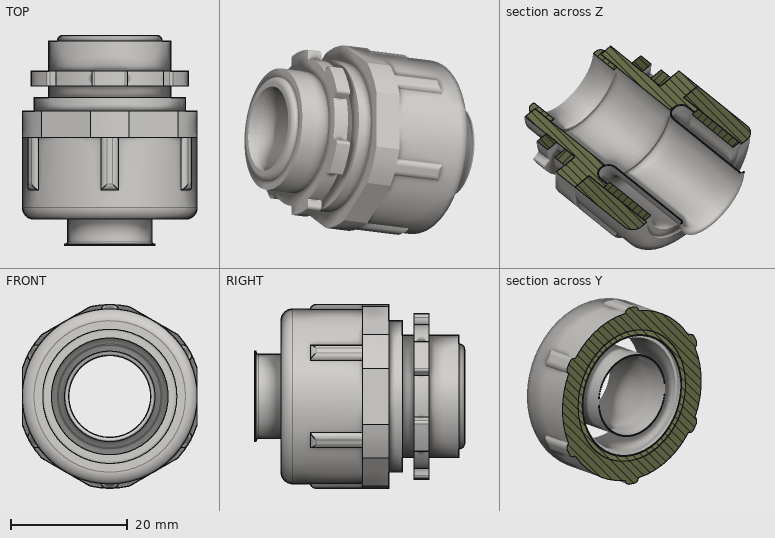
import cadquery as cq
import math


nut_front = 4.5
ring_front = 5.0
rib_front = 9.5
spigot_front = 15.0
hex_front = 18.5
hex_back = 23.0
gasket_back = 25.3
locknut_front = 27.3
locknut_back = 29.88
thread_end = 35.0
overall_length = 36.0

hex_flats = 30.0
corner_dia = 31.5
thread_dia = 21.0
body_bore = 16.0

nut_dia = hex_flats
nut_bore = 23.0
nut_round = 2.0
rib_count = 6
rib_width = 3.0
rib_round = 1.0
rib_embed = 0.72

sheet = 0.25
tube_inner = 14.0
tube_outer = tube_inner + 2 * sheet
lip_dia = 15.5
lip_bend = 0.35
cup_inner = 21.0
cup_outer = cup_inner + 2 * sheet
cup_floor = 18.0
floor_bend = 1.5

ring_bore = 20.0

gasket_dia = 26.0
locknut_root_dia = 25.38
locknut_dia = 28.5
tooth_count = 6
tooth_width = 6.0
tooth_round = 0.5
bush_head_dia = 18.0
bush_bore = tube_outer
bush_sleeve_length = 4.0
bush_round = overall_length - thread_end

first_corner_angle = 30.0


def cylinder(diameter, start, end):
    """Solid cylinder on the Y axis from y = start to y = end."""
    return cq.Workplane("XZ", origin=(0, start, 0)).circle(diameter / 2).extrude(start - end)


def tube(outer, inner, start, end):
    return cylinder(outer, start, end).cut(cylinder(inner, start, end))


def spin(profile):
    """Revolve a closed (radius, y) profile about the Y axis."""
    return profile.close().revolve(360, (0, 0, 0), (0, 1, 0))


def around_axis(shape, count):
    """Yield copies of a shape that points to +X, turned to each corner direction."""
    for index in range(count):
        angle = first_corner_angle + index * 360.0 / count
        yield shape.rotate((0, 0, 0), (0, 1, 0), angle)


def block(inner_x, outer_x, width, start, end):
    """Box pointing to +X, centred on the XY plane."""
    length = end - start
    return (
        cq.Workplane("XY")
        .box(outer_x - inner_x, length, width, centered=(False, False, True))
        .translate((inner_x, start, 0))
    )


def make_ferrule():
    """Thin tube with a flared lip in front and a rounded cup at the back."""
    inner = tube_inner / 2
    outer = tube_outer / 2
    flare_radius = outer + lip_bend
    lip_radius = lip_dia / 2
    floor_back = cup_floor + sheet
    floor_start = outer + floor_bend
    floor_end = cup_inner / 2 - floor_bend
    diagonal = math.sqrt(0.5)

    def arc(centre, radius, radial_sign, axial_sign, end):
        """Middle and end point of a quarter bend that bulges towards the given signs."""
        middle = (
            centre[0] + radial_sign * radius * diagonal,
            centre[1] + axial_sign * radius * diagonal,
        )
        return middle, end

    lip_centre = (flare_radius, sheet + lip_bend)
    tube_centre = (floor_start, cup_floor - floor_bend)
    cup_centre = (floor_end, cup_floor - floor_bend)
    floor_bend_outer = floor_bend + sheet
    lip_bend_outer = lip_bend + sheet

    profile = (
        cq.Workplane("XY")
        .moveTo(flare_radius, 0)
        .lineTo(lip_radius, 0)
        .lineTo(lip_radius, sheet)
        .lineTo(flare_radius, sheet)
        .threePointArc(*arc(lip_centre, lip_bend, -1, -1, (outer, lip_centre[1])))
        .lineTo(outer, tube_centre[1])
        .threePointArc(*arc(tube_centre, floor_bend, -1, 1, (floor_start, cup_floor)))
        .lineTo(floor_end, cup_floor)
        .threePointArc(*arc(cup_centre, floor_bend, 1, 1, (cup_inner / 2, cup_centre[1])))
        .lineTo(cup_inner / 2, spigot_front)
        .lineTo(cup_outer / 2, spigot_front)
        .lineTo(cup_outer / 2, cup_centre[1])
        .threePointArc(*arc(cup_centre, floor_bend_outer, 1, 1, (floor_end, floor_back)))
        .lineTo(floor_start, floor_back)
        .threePointArc(*arc(tube_centre, floor_bend_outer, -1, 1, (inner, tube_centre[1])))
        .lineTo(inner, lip_centre[1])
        .threePointArc(*arc(lip_centre, lip_bend_outer, -1, -1, (flare_radius, 0)))
    )
    return spin(profile)


def make_nut():
    """Dome nut with a rounded front edge and ribs towards the hexagon corners."""
    dome = cylinder(nut_dia, nut_front, hex_front).faces("<Y").edges().fillet(nut_round)
    rib = block(nut_dia / 2 - rib_embed, corner_dia / 2, rib_width, rib_front, hex_front)
    rib = rib.faces(">X").edges("not >Y").fillet(rib_round)
    for placed_rib in around_axis(rib, rib_count):
        dome = dome.union(placed_rib)
    return dome.cut(cylinder(nut_bore, nut_front, hex_front))


def make_clamp_ring():
    return tube(nut_bore, ring_bore, ring_front, spigot_front)


def make_body():
    """Spigot, hexagon with rounded-off corners, and threaded stem."""
    hexagon = (
        cq.Workplane("XZ", origin=(0, hex_front, 0))
        .polygon(6, hex_flats, circumscribed=True)
        .extrude(hex_front - hex_back)
        .intersect(cylinder(corner_dia, hex_front, hex_back))
    )
    body = hexagon.union(cylinder(nut_bore, spigot_front, hex_front))
    body = body.union(cylinder(thread_dia, hex_back, thread_end))
    cup_seat = cylinder(cup_outer, spigot_front, cup_floor + sheet)
    cup_seat = cup_seat.faces(">Y").edges().fillet(floor_bend + sheet)
    return body.cut(cup_seat).cut(cylinder(body_bore, spigot_front, thread_end))


def make_gasket():
    return tube(gasket_dia, thread_dia, hex_back, gasket_back)


def make_locknut():
    """Ring with round-cornered teeth."""
    locknut = cylinder(locknut_root_dia, locknut_front, locknut_back)
    tooth = block(thread_dia / 2, corner_dia / 2, tooth_width, locknut_front, locknut_back)
    tooth = tooth.intersect(cylinder(locknut_dia, locknut_front, locknut_back))
    tooth = tooth.faces(">X").edges("|Y").fillet(tooth_round)
    for placed_tooth in around_axis(tooth, tooth_count):
        locknut = locknut.union(placed_tooth)
    return locknut.cut(cylinder(thread_dia, locknut_front, locknut_back))


def make_bush():
    """Rounded head on the stem end with a sleeve inside the body bore."""
    head = cylinder(bush_head_dia, thread_end, overall_length)
    sleeve = cylinder(body_bore, thread_end - bush_sleeve_length, thread_end)
    rounding = spin(
        cq.Workplane("XY")
        .moveTo(bush_head_dia / 2, thread_end)
        .radiusArc((bush_head_dia / 2 - bush_round, overall_length), -bush_round)
        .lineTo(bush_head_dia / 2, overall_length)
    )
    bore = cylinder(bush_bore, thread_end - bush_sleeve_length, overall_length)
    return head.cut(rounding).union(sleeve).cut(bore)


ferrule = make_ferrule()
nut = make_nut()
clamp_ring = make_clamp_ring()
body = make_body()
gasket = make_gasket()
locknut = make_locknut()
bush = make_bush()

result = cq.Compound.makeCompound([
    ferrule.val(),
    nut.val(),
    clamp_ring.val(),
    body.val(),
    gasket.val(),
    locknut.val(),
    bush.val(),
])